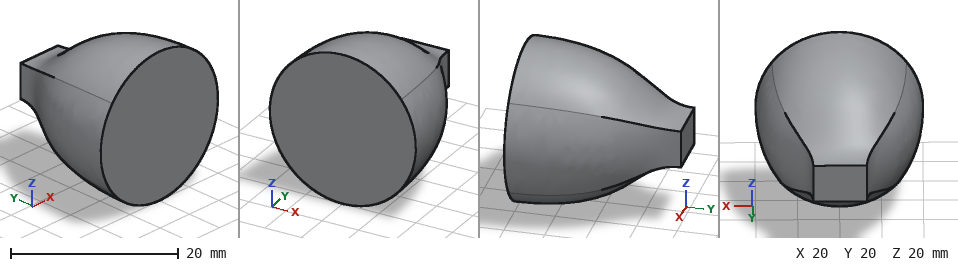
import cadquery as cq

length = 20.0
base_radius = 10.0
tip_width = 6.4
tip_height = 4.8
base_y = -length / 2

tip_diagonal = (tip_width**2 + tip_height**2) ** 0.5
base_corner_x = base_radius * tip_width / tip_diagonal
base_corner_z = base_radius * tip_height / tip_diagonal

base_handle = 0.73 * length
tip_handle = 0.72 * length
section_count = 13


def blend(start, end, fraction):
    """Value part of the way from start to end."""
    return start + (end - start) * fraction


def section(step):
    """Closed four-sided outline, from the round base (step 0) to the rectangular tip (step 1)."""
    rest = 1 - step
    y = base_y + 3 * step * rest**2 * base_handle + 3 * step**2 * rest * tip_handle + step**3 * length
    fraction = 3 * step**2 - 2 * step**3

    corner_x = blend(base_corner_x, tip_width / 2, fraction)
    corner_z = blend(base_corner_z, tip_height / 2, fraction)
    side_x = blend(base_radius, tip_width / 2, fraction)
    side_z = blend(base_radius, tip_height / 2, fraction)

    corners = [
        cq.Vector(corner_x * sign_x, y, corner_z * sign_z)
        for sign_x, sign_z in ((1, -1), (1, 1), (-1, 1), (-1, -1))
    ]
    side_middles = [
        cq.Vector(side_x, y, 0),
        cq.Vector(0, y, side_z),
        cq.Vector(-side_x, y, 0),
        cq.Vector(0, y, -side_z),
    ]

    edges = []
    for i, middle in enumerate(side_middles):
        start = corners[i]
        end = corners[(i + 1) % len(corners)]
        if step == 1:
            edges.append(cq.Edge.makeLine(start, end))
        else:
            edges.append(cq.Edge.makeThreePointArc(start, middle, end))
    return cq.Wire.assembleEdges(edges)


sections = [section(i / (section_count - 1)) for i in range(section_count)]
result = cq.Workplane("XY").newObject([cq.Solid.makeLoft(sections)])